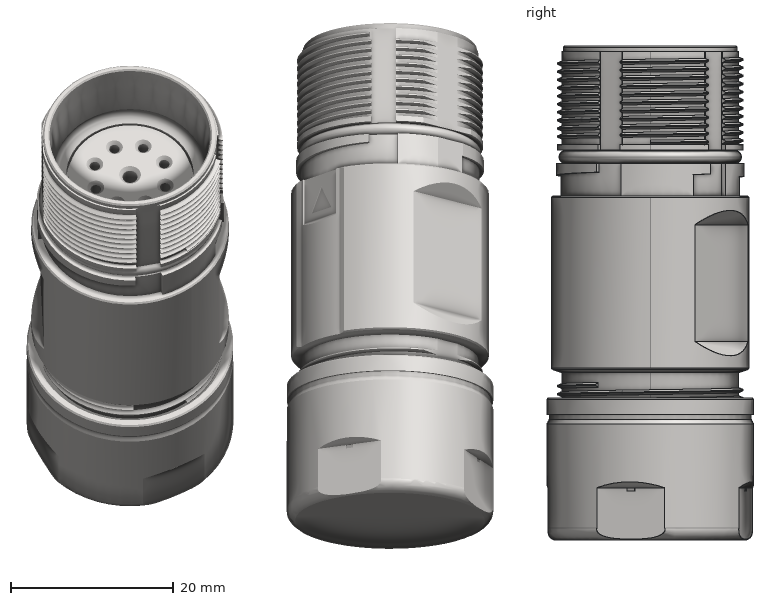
import cadquery as cq
import math

LENGTH = 60.95

NUT_R = 12.75
NUT_TOP = 17.55
NUT_FOOT_R = 11.7
NUT_EDGE_H = 1.5
NUT_GROOVE_BOTTOM = 14.3
NUT_GROOVE_TOP = 15.5
NUT_GROOVE_DEPTH = 0.3
NUT_BORE_R = 11.8
NUT_BORE_DEPTH = 0.9
NUT_EDGE_BREAK = 0.2
NUT_FLAT_COUNT = 4
NUT_FLAT_DISTANCE = 12.0
NUT_FLAT_TOP = 6.45
NUT_FLAT_ANGLE = 258.5
NUT_NOTCH_W = 1.0
NUT_NOTCH_H = 0.4
NUT_NOTCH_DEPTH = 0.1

CORE_R = 10.9
CREST_R = 11.45
TEN_PITCHES = 10.0
PITCH = TEN_PITCHES / 10
THREAD_OVERLAP = 0.35
THREAD_ROOT_HALF = 0.46
THREAD_CREST_HALF = 0.05
LOWER_THREAD_START = 17.25
LOWER_THREAD_TURNS = 1.9
UPPER_THREAD_START = 49.0
UPPER_THREAD_TURNS = 10.5
INNER_CORE_R = 10.5
SLEEVE_BORE_R = 10.25

BODY_R = 12.2
BODY_BOTTOM = 21.2
BODY_TOP = 42.4
BODY_CHAMFER = 0.2
RELIEF_TOP = 20.65

WRENCH_ANGLES = (234, 54)
WRENCH_DISTANCE = 10.85
WRENCH_BOTTOM = 24.5
WRENCH_TOP = 38.9
WRENCH_RUNOUT = 1.75
THREAD_FLAT_ANGLE = 234
THREAD_FLAT_DISTANCE = 10.8
THREAD_FLAT_W = 8.55

LABEL_ANGLE = 144
LABEL_R = 11.9
LABEL_HALF_ANGLE = 17.5
LABEL_BEVEL_ANGLE = 4
ARROW_POCKET_W = 6.2
ARROW_POCKET_BOTTOM = 36.8
ARROW_POCKET_DISTANCE = 11.2
ARROW_BOTTOM = 37.8
ARROW_H = 3.05
ARROW_W = 3.8
ARROW_DEPTH = 0.1

NECK_R = 11.05
LUG_R = 11.6
NECK_TOP = 46.45
BAYONETS = ((198, 243.5, 325), (342, 387.5, 400), (53, 72, 180))
CAM_MEAN_BOTTOM = 45.1
CAM_TILT = 2.0
LUG_OVERLAP = 0.6
RIM_OVERLAP_ANGLE = 1.0
LUG_FLAT_DISTANCE = 11.4

RING_SECTION_D = 1.5
RING_Z = 47.25
COLLAR_BOTTOM = 48.1
COLLAR_TOP = 48.75

TIP_R = 10.7
TIP_BOTTOM = 60.2
TIP_CHAMFER = 0.2
SLOT_ANGLES = (189, 333.5, 46.5)
SLOT_W = 3.05
SLOT_DISTANCE = 10.65

SOCKET_TOP_R = 9.95
SOCKET_CHAMFER = 0.2
SOCKET_WALL_BOTTOM_R = 9.3
SOCKET_WALL_BOTTOM = 53.65
FLOOR_R = 8.7
FLOOR_Z = 52.65
INSERT_R = 7.55
INSERT_GAP = 0.3
INSERT_GAP_DEPTH = 1.2
CONTACT_COUNT = 8
CONTACT_CIRCLE_R = 4.65
CONTACT_FIRST_ANGLE = 31.2
CONTACT_D = 1.3
CONTACT_MOUTH_D = 2.1
CENTRE_D = 1.8
CENTRE_MOUTH_D = 2.7
CONTACT_DEPTH = 4.9

OUTSIDE = 18.3
OVERSHOOT = 0.6


def polar(radius, angle):
    """Point in the XY plane at an angle in degrees."""
    return radius * math.cos(math.radians(angle)), radius * math.sin(math.radians(angle))


def cylinder(radius, z_bottom, z_top):
    return cq.Workplane("XY").workplane(offset=z_bottom).circle(radius).extrude(z_top - z_bottom)


def sector(inner_r, outer_r, start, end, z_bottom, z_top):
    """Ring segment running counterclockwise from start to end."""
    middle = (start + end) / 2
    return (
        cq.Workplane("XY").workplane(offset=z_bottom)
        .moveTo(*polar(inner_r, start))
        .lineTo(*polar(outer_r, start))
        .threePointArc(polar(outer_r, middle), polar(outer_r, end))
        .lineTo(*polar(inner_r, end))
        .threePointArc(polar(inner_r, middle), polar(inner_r, start))
        .close().extrude(z_top - z_bottom)
    )


def outer_block(distance, width, z_bottom, z_top, angle):
    """Block beyond a plane at the given distance from the axis, facing the angle."""
    depth = OUTSIDE - distance
    height = z_top - z_bottom
    block = cq.Workplane("XY").box(depth, width, height, centered=(False, True, False))
    return block.translate((distance, 0, z_bottom)).rotate((0, 0, 0), (0, 0, 1), angle)


def profile_cut(points, angle):
    """Wide cutter with a radius-height outline, facing the angle."""
    cutter = cq.Workplane("XZ").polyline(points).close().extrude(OUTSIDE, both=True)
    return cutter.rotate((0, 0, 0), (0, 0, 1), angle)


def thread_ridge(z_start, turns):
    """Right-handed helical ridge, rooted below the thread core."""
    root_r = CORE_R - THREAD_OVERLAP
    path = cq.Wire.makeHelix(PITCH, turns * PITCH, root_r).translate(cq.Vector(0, 0, z_start))
    return (
        cq.Workplane("XZ")
        .polyline([
            (root_r, z_start - THREAD_ROOT_HALF),
            (CREST_R, z_start - THREAD_CREST_HALF),
            (CREST_R, z_start + THREAD_CREST_HALF),
            (root_r, z_start + THREAD_ROOT_HALF),
        ])
        .close().sweep(cq.Workplane(obj=path), isFrenet=True)
    )


def add_thread(core, z_start, turns):
    """Join a thread to a core, in equal pieces of at most one turn each."""
    piece_count = math.ceil(turns)
    piece_turns = turns / piece_count
    first = thread_ridge(z_start, piece_turns).val()
    pieces = []
    for index in range(piece_count):
        turned = index * piece_turns
        piece = first.rotate(cq.Vector(0, 0, 0), cq.Vector(0, 0, 1), turned * 360)
        pieces.append(piece.translate(cq.Vector(0, 0, turned * PITCH)))
    return cq.Workplane(obj=core.val().fuse(*pieces))


def turned_shell():
    edge_fall = NUT_EDGE_H * (1 - math.sqrt(0.5))
    edge_mid = (NUT_FOOT_R + (NUT_R - NUT_FOOT_R) * math.sqrt(0.5), edge_fall)
    groove_r = NUT_R - NUT_GROOVE_DEPTH
    return (
        cq.Workplane("XZ")
        .moveTo(0, 0)
        .lineTo(NUT_FOOT_R, 0)
        .threePointArc(edge_mid, (NUT_R, NUT_EDGE_H))
        .lineTo(NUT_R, NUT_GROOVE_BOTTOM)
        .lineTo(groove_r, (NUT_GROOVE_BOTTOM + NUT_GROOVE_TOP) / 2)
        .lineTo(groove_r, NUT_GROOVE_TOP)
        .lineTo(NUT_R, NUT_GROOVE_TOP)
        .lineTo(NUT_R, NUT_TOP - NUT_EDGE_BREAK)
        .lineTo(NUT_R - NUT_EDGE_BREAK, NUT_TOP)
        .lineTo(NUT_BORE_R, NUT_TOP)
        .lineTo(NUT_BORE_R, NUT_TOP - NUT_BORE_DEPTH)
        .lineTo(INNER_CORE_R, NUT_TOP - NUT_BORE_DEPTH)
        .lineTo(INNER_CORE_R, RELIEF_TOP)
        .lineTo(CORE_R, RELIEF_TOP)
        .lineTo(BODY_R - BODY_CHAMFER, BODY_BOTTOM - BODY_CHAMFER)
        .lineTo(BODY_R, BODY_BOTTOM)
        .lineTo(BODY_R, BODY_TOP - BODY_CHAMFER)
        .lineTo(BODY_R - BODY_CHAMFER, BODY_TOP)
        .lineTo(NECK_R, BODY_TOP)
        .lineTo(NECK_R, NECK_TOP)
        .lineTo(INNER_CORE_R, NECK_TOP)
        .lineTo(INNER_CORE_R, TIP_BOTTOM)
        .lineTo(TIP_R, TIP_BOTTOM)
        .lineTo(TIP_R, LENGTH - TIP_CHAMFER)
        .lineTo(TIP_R - TIP_CHAMFER, LENGTH)
        .lineTo(0, LENGTH)
        .close().revolve(360, (0, 0, 0), (0, 1, 0))
    )


def o_ring():
    return cq.Workplane("XZ").center(INNER_CORE_R, RING_Z).circle(RING_SECTION_D / 2).revolve(
        360, (-INNER_CORE_R, 0, 0), (-INNER_CORE_R, 1, 0)
    )


def bayonet(lug_start, lug_end, cam_end):
    """Full-height lug with a cam rim whose underside rises away from it."""
    root_r = NECK_R - LUG_OVERLAP
    lug = sector(root_r, LUG_R, lug_start, lug_end, BODY_TOP, NECK_TOP)
    rim = sector(root_r, LUG_R, lug_end - RIM_OVERLAP_ANGLE, cam_end, BODY_TOP, NECK_TOP)
    below_cam = (
        cq.Workplane("XY").box(2 * OUTSIDE, 2 * OUTSIDE, OUTSIDE, centered=(True, True, False))
        .translate((0, 0, -OUTSIDE))
        .rotate((0, 0, 0), (1, 0, 0), CAM_TILT)
        .rotate((0, 0, 0), (0, 0, 1), (lug_end + cam_end) / 2)
        .translate((0, 0, CAM_MEAN_BOTTOM))
    )
    return lug.union(rim.cut(below_cam))


def thread_flat(z_bottom, z_top):
    return outer_block(THREAD_FLAT_DISTANCE, THREAD_FLAT_W, z_bottom, z_top, THREAD_FLAT_ANGLE)


def lower_sleeve():
    """Short thread above the nut, interrupted by one flat."""
    z_bottom = NUT_TOP - NUT_BORE_DEPTH
    core = cylinder(CORE_R, z_bottom, RELIEF_TOP).cut(cylinder(SLEEVE_BORE_R, z_bottom, RELIEF_TOP))
    sleeve = add_thread(core, LOWER_THREAD_START, LOWER_THREAD_TURNS)
    return sleeve.cut(thread_flat(z_bottom, RELIEF_TOP), clean=False)


def upper_sleeve():
    """Thread and collar, interrupted by one flat and the keyed slots."""
    core = (
        cylinder(CORE_R, COLLAR_BOTTOM, TIP_BOTTOM)
        .union(cylinder(CREST_R, COLLAR_BOTTOM, COLLAR_TOP))
        .cut(cylinder(SLEEVE_BORE_R, COLLAR_BOTTOM, TIP_BOTTOM))
    )
    sleeve = add_thread(core, UPPER_THREAD_START, UPPER_THREAD_TURNS)
    sleeve = sleeve.cut(thread_flat(COLLAR_BOTTOM, TIP_BOTTOM), clean=False)
    for angle in SLOT_ANGLES:
        slot = outer_block(SLOT_DISTANCE, SLOT_W, COLLAR_BOTTOM, TIP_BOTTOM, angle)
        sleeve = sleeve.cut(slot, clean=False)
    return sleeve


def nut_flat(angle):
    """Spanner flat with a 45 degree top and a small notch below it."""
    rise = OUTSIDE - NUT_FLAT_DISTANCE
    flat = profile_cut([
        (NUT_FLAT_DISTANCE, -OVERSHOOT),
        (NUT_FLAT_DISTANCE, NUT_FLAT_TOP),
        (OUTSIDE, NUT_FLAT_TOP + rise),
        (OUTSIDE, -OVERSHOOT),
    ], angle)
    notch_distance = NUT_FLAT_DISTANCE - NUT_NOTCH_DEPTH
    notch = outer_block(notch_distance, NUT_NOTCH_W, NUT_FLAT_TOP - NUT_NOTCH_H, NUT_FLAT_TOP, angle)
    return flat.union(notch)


def wrench_flat(angle):
    """Flat on the grip body with sloped ends."""
    rise = WRENCH_RUNOUT / (BODY_R - WRENCH_DISTANCE) * (OUTSIDE - WRENCH_DISTANCE)
    return profile_cut([
        (WRENCH_DISTANCE, WRENCH_BOTTOM),
        (WRENCH_DISTANCE, WRENCH_TOP),
        (OUTSIDE, WRENCH_TOP + rise),
        (OUTSIDE, WRENCH_BOTTOM - rise),
    ], angle)


def label_recess():
    """Shallow cylindrical band with bevelled sides along the whole body."""
    start = LABEL_ANGLE - LABEL_HALF_ANGLE
    end = LABEL_ANGLE + LABEL_HALF_ANGLE
    outer_start = polar(BODY_R, start - LABEL_BEVEL_ANGLE)
    outer_end = polar(BODY_R, end + LABEL_BEVEL_ANGLE)
    return (
        cq.Workplane("XY").workplane(offset=RELIEF_TOP)
        .moveTo(*outer_start)
        .lineTo(*polar(LABEL_R, start))
        .threePointArc(polar(LABEL_R, LABEL_ANGLE), polar(LABEL_R, end))
        .lineTo(*outer_end)
        .threePointArc(polar(OUTSIDE, LABEL_ANGLE), outer_start)
        .close().extrude(BODY_TOP - RELIEF_TOP)
    )


def arrow_pocket():
    drop = OUTSIDE - ARROW_POCKET_DISTANCE
    sloped_foot = profile_cut([
        (ARROW_POCKET_DISTANCE, ARROW_POCKET_BOTTOM),
        (ARROW_POCKET_DISTANCE, BODY_TOP),
        (OUTSIDE, BODY_TOP),
        (OUTSIDE, ARROW_POCKET_BOTTOM - drop),
    ], LABEL_ANGLE)
    pocket = sloped_foot.intersect(
        outer_block(ARROW_POCKET_DISTANCE, ARROW_POCKET_W, RELIEF_TOP, BODY_TOP, LABEL_ANGLE)
    )
    arrow = (
        cq.Workplane("YZ").workplane(offset=ARROW_POCKET_DISTANCE - ARROW_DEPTH)
        .moveTo(-ARROW_W / 2, ARROW_BOTTOM)
        .lineTo(ARROW_W / 2, ARROW_BOTTOM)
        .lineTo(0, ARROW_BOTTOM + ARROW_H)
        .close().extrude(2 * ARROW_DEPTH)
        .rotate((0, 0, 0), (0, 0, 1), LABEL_ANGLE)
    )
    return pocket.union(arrow)


def socket():
    """Tapered bore with a chamfered mouth and a rounded foot."""
    bulge = 0.8
    foot_mid = (
        SOCKET_WALL_BOTTOM_R - (1 - bulge) * (SOCKET_WALL_BOTTOM_R - FLOOR_R),
        SOCKET_WALL_BOTTOM - bulge * (SOCKET_WALL_BOTTOM - FLOOR_Z),
    )
    return (
        cq.Workplane("XZ")
        .moveTo(0, FLOOR_Z)
        .lineTo(FLOOR_R, FLOOR_Z)
        .threePointArc(foot_mid, (SOCKET_WALL_BOTTOM_R, SOCKET_WALL_BOTTOM))
        .lineTo(SOCKET_TOP_R, LENGTH - SOCKET_CHAMFER)
        .lineTo(SOCKET_TOP_R + SOCKET_CHAMFER, LENGTH)
        .lineTo(0, LENGTH)
        .close().revolve(360, (0, 0, 0), (0, 1, 0))
    )


def insert_gap():
    z_bottom = FLOOR_Z - INSERT_GAP_DEPTH
    return cylinder(INSERT_R + INSERT_GAP, z_bottom, FLOOR_Z).cut(cylinder(INSERT_R, z_bottom, FLOOR_Z))


def contact_hole(x, y, diameter, mouth):
    """Blind hole with a 45 degree countersink."""
    sink = (mouth - diameter) / 2
    return (
        cq.Workplane("XZ")
        .polyline([
            (0, FLOOR_Z),
            (mouth / 2, FLOOR_Z),
            (diameter / 2, FLOOR_Z - sink),
            (diameter / 2, FLOOR_Z - CONTACT_DEPTH),
            (0, FLOOR_Z - CONTACT_DEPTH),
        ])
        .close().revolve(360, (0, 0, 0), (0, 1, 0))
        .translate((x, y, 0))
    )


def contact_holes():
    holes = contact_hole(0, 0, CENTRE_D, CENTRE_MOUTH_D)
    for index in range(CONTACT_COUNT):
        x, y = polar(CONTACT_CIRCLE_R, CONTACT_FIRST_ANGLE + index * 360 / CONTACT_COUNT)
        holes = holes.union(contact_hole(x, y, CONTACT_D, CONTACT_MOUTH_D))
    return holes


result = turned_shell().union(o_ring())

for lug_start, lug_end, cam_end in BAYONETS:
    result = result.union(bayonet(lug_start, lug_end, cam_end))

for index in range(NUT_FLAT_COUNT):
    result = result.cut(nut_flat(NUT_FLAT_ANGLE + index * 360 / NUT_FLAT_COUNT))

for angle in WRENCH_ANGLES:
    result = result.cut(wrench_flat(angle))

result = result.cut(outer_block(LUG_FLAT_DISTANCE, 2 * OUTSIDE, BODY_TOP, NECK_TOP, THREAD_FLAT_ANGLE))
result = result.cut(label_recess()).cut(arrow_pocket())
result = result.cut(socket()).cut(insert_gap()).cut(contact_holes())

result = result.union(lower_sleeve(), clean=False)
result = result.union(upper_sleeve(), clean=False)